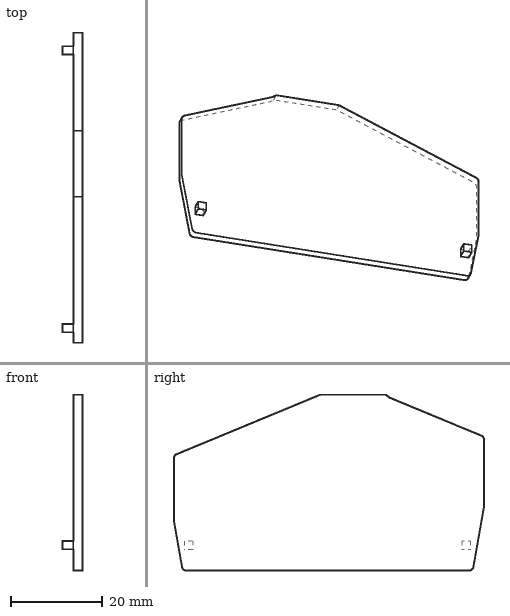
import cadquery as cq
import math

overall_depth = 4.4
plate_thickness = 2.0
plate_width = 67.95
plate_height = 38.54
y_max = plate_width / 2
y_min = -plate_width / 2

shoulder_angle = 22.5
taper_angle = 10
shoulder_slope = math.tan(math.radians(shoulder_angle))
taper_slope = math.tan(math.radians(taper_angle))
top_edge_y_min = -1.95
top_edge_y_max = 12.45
step_run = 0.75
step_drop = 0.6
taper_start_y_max = 14.0
taper_start_y_min = 10.8
corner_radius = 1.0

peg_length = overall_depth - plate_thickness
peg_side = 1.85
peg_spacing = 60.8
peg_center_y = -0.35
peg_center_z = 5.6


def make_plate():
    step_y = top_edge_y_max + step_run
    step_z = plate_height - step_drop
    shoulder_z_max = step_z - (y_max - step_y) * shoulder_slope
    shoulder_z_min = plate_height - (top_edge_y_min - y_min) * shoulder_slope
    bottom_y_max = y_max - taper_start_y_max * taper_slope
    bottom_y_min = y_min + taper_start_y_min * taper_slope

    rounded_corners = [
        (bottom_y_min, 0),
        (bottom_y_max, 0),
        (y_max, shoulder_z_max),
        (y_min, shoulder_z_min),
    ]
    outline = [
        (bottom_y_min, 0),
        (bottom_y_max, 0),
        (y_max, taper_start_y_max),
        (y_max, shoulder_z_max),
        (step_y, step_z),
        (top_edge_y_max, plate_height),
        (top_edge_y_min, plate_height),
        (y_min, shoulder_z_min),
        (y_min, taper_start_y_min),
    ]
    plate = cq.Workplane("YZ").polyline(outline).close().extrude(plate_thickness)
    for y, z in rounded_corners:
        corner_edge = cq.selectors.NearestToPointSelector((plate_thickness / 2, y, z))
        plate = plate.edges(corner_edge).fillet(corner_radius)
    return plate


def make_pegs():
    peg_centers = [(peg_center_y + side * peg_spacing / 2, peg_center_z) for side in (-1, 1)]
    return cq.Workplane("YZ").pushPoints(peg_centers).rect(peg_side, peg_side).extrude(-peg_length)


result = make_plate().union(make_pegs())